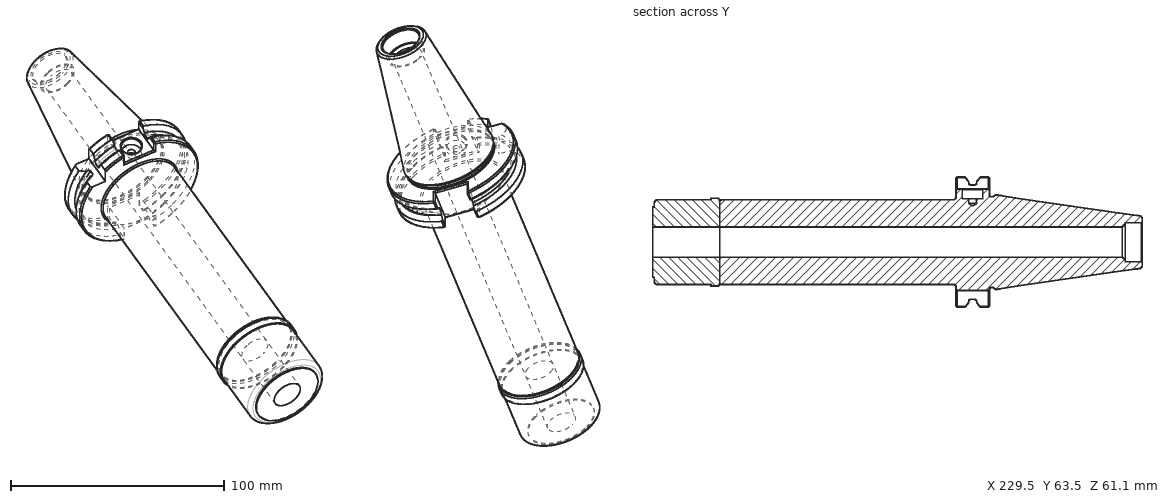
import cadquery as cq
import math

total_length = 229.5
taper_length = 68.7
flange_start = 71.6
flange_end = 87.5
nut_start = 198.1

taper_ratio = 7 / 24
gauge_diameter = 44.5
taper_end_chamfer = 1.0
relief_radius = 21.4
relief_slope_length = 1.4
relief_root_chamfer = 0.5

flange_diameter = 63.5
flange_chamfer = 0.7
groove_mouth_width = 7.5
groove_channel_width = 3.7
groove_shoulder_radius = 29.5
groove_floor_radius = 28.0
groove_floor_fillet = 1.0

slot_width = 15.8
upper_slot_floor = 25.0
lower_slot_floor = 22.7
notch_side = 18.4
notch_floor = 18.1
chip_hole_diameter = 9.5
chip_hole_chamfer = 0.5
chip_hole_depth = 4.5
pilot_hole_diameter = 3.5
pilot_hole_depth = 2.3
pilot_point_angle = 118

tube_radius = 20.0
tube_root_chamfer = 0.7
tube_end_chamfer = 0.7

bore_diameter = 14.0
counterbore_diameter = 18.1
counterbore_depth = 8.0
mouth_diameter = 19.3
bore_chamfer = 1.4

nut_radius = 20.0
collar_radius = 20.7
collar_end = 202.3
collar_chamfer = 0.7
nut_shoulder = 229.0
nut_end_fillet = 1.8
nut_rim_radius = 16.5

gauge_radius = gauge_diameter / 2
flange_radius = flange_diameter / 2
small_end_radius = gauge_radius - taper_length * taper_ratio / 2
flange_middle = (flange_start + flange_end) / 2
bore_radius = bore_diameter / 2
counterbore_radius = counterbore_diameter / 2
mouth_radius = mouth_diameter / 2
mouth_chamfer = mouth_radius - counterbore_radius


def revolve_about_x(points):
    """Turn a closed (x, radius) outline about the X axis."""
    return cq.Workplane("XY").polyline(points).close().revolve(360, (0, 0, 0), (1, 0, 0))


def box_between(x_range, y_range, z_range):
    """Box given by its limits along each axis."""
    lengths = [high - low for low, high in (x_range, y_range, z_range)]
    corner = (x_range[0], y_range[0], z_range[0])
    return cq.Workplane("XY").box(*lengths, centered=False).translate(corner)


def turned_body():
    """Solid taper and tube in one turned outline, necked down where the flange sits."""
    small_end_edge = small_end_radius - taper_end_chamfer
    chamfer_top = small_end_radius + taper_end_chamfer * taper_ratio / 2
    return revolve_about_x([
        (0, 0),
        (0, small_end_edge),
        (taper_end_chamfer, chamfer_top),
        (taper_length, gauge_radius),
        (taper_length + relief_slope_length, relief_radius),
        (flange_start - relief_root_chamfer, relief_radius),
        (flange_start, relief_radius + relief_root_chamfer),
        (flange_end, tube_radius + tube_root_chamfer),
        (flange_end + tube_root_chamfer, tube_radius),
        (nut_start - tube_end_chamfer, tube_radius),
        (nut_start, tube_radius - tube_end_chamfer),
        (nut_start, 0),
    ])


def drive_slots():
    """Upper and lower slots of equal width but different depth."""
    x_range = (flange_start, flange_end)
    slot_range = (-slot_width / 2, slot_width / 2)
    upper_slot = box_between(x_range, slot_range, (upper_slot_floor, flange_radius))
    lower_slot = box_between(x_range, slot_range, (-flange_radius, -lower_slot_floor))
    return upper_slot.union(lower_slot)


def corner_notch():
    """Square-cornered notch in the -Y, +Z quarter of the flange."""
    x_range = (flange_start, flange_end)
    return box_between(x_range, (-flange_radius, -notch_side), (notch_floor, flange_radius))


def gripper_groove():
    """V-shaped ring groove with a straight-sided, round-cornered channel at its bottom."""
    half_mouth = groove_mouth_width / 2
    half_channel = groove_channel_width / 2
    half_flat = half_channel - groove_floor_fillet
    fillet_top = groove_floor_radius + groove_floor_fillet
    outline = (
        cq.Workplane("XY", origin=(flange_middle, 0, 0))
        .moveTo(-half_mouth, flange_radius)
        .lineTo(-half_channel, groove_shoulder_radius)
        .lineTo(-half_channel, fillet_top)
        .radiusArc((-half_flat, groove_floor_radius), -groove_floor_fillet)
        .lineTo(half_flat, groove_floor_radius)
        .radiusArc((half_channel, fillet_top), -groove_floor_fillet)
        .lineTo(half_channel, groove_shoulder_radius)
        .lineTo(half_mouth, flange_radius)
        .close()
    )
    return outline.revolve(360, (0, 0, 0), (1, 0, 0))


def make_flange():
    """Slotted disc with chamfered edges, then notched and grooved with sharp edges."""
    disc = (
        cq.Workplane("YZ", origin=(flange_start, 0, 0))
        .circle(flange_radius)
        .extrude(flange_end - flange_start)
        .cut(drive_slots())
    )
    face_edges = disc.faces("<X or >X").edges().vals()
    rim_edges = [
        edge for edge in disc.edges("|X").vals()
        if math.hypot(edge.Center().y, edge.Center().z) > groove_floor_radius
    ]
    disc = disc.newObject(face_edges + rim_edges).chamfer(flange_chamfer)
    return disc.cut(corner_notch()).cut(gripper_groove())


def chip_hole():
    """Chamfered round pocket in the upper slot floor with a drilled pilot hole at its centre."""
    hole_radius = chip_hole_diameter / 2
    mouth = hole_radius + chip_hole_chamfer
    pilot_radius = pilot_hole_diameter / 2
    pilot_bottom = chip_hole_depth + pilot_hole_depth
    point_length = pilot_radius / math.tan(math.radians(pilot_point_angle / 2))
    profile = (
        cq.Workplane("XZ")
        .polyline([
            (0, 0),
            (mouth, 0),
            (hole_radius, -chip_hole_chamfer),
            (hole_radius, -chip_hole_depth),
            (pilot_radius, -chip_hole_depth),
            (pilot_radius, -pilot_bottom),
            (0, -pilot_bottom - point_length),
        ])
        .close()
    )
    hole = profile.revolve(360, (0, 0, 0), (0, 1, 0))
    return hole.translate((flange_middle, 0, upper_slot_floor))


def holder_bore():
    """Through bore with a chamfered counterbore at the small end."""
    return revolve_about_x([
        (0, 0),
        (0, mouth_radius),
        (mouth_chamfer, counterbore_radius),
        (counterbore_depth, counterbore_radius),
        (counterbore_depth, bore_radius + bore_chamfer),
        (counterbore_depth + bore_chamfer, bore_radius),
        (nut_start, bore_radius),
        (nut_start, 0),
    ])


def make_holder():
    holder = turned_body().union(make_flange())
    return holder.cut(chip_hole()).cut(holder_bore())


def make_nut():
    """Ring nut with a raised collar, a rounded shoulder and a low rim at its free end."""
    outline = (
        cq.Workplane("XY")
        .moveTo(nut_start, bore_radius)
        .lineTo(nut_start, collar_radius - collar_chamfer)
        .lineTo(nut_start + collar_chamfer, collar_radius)
        .lineTo(collar_end, collar_radius)
        .lineTo(collar_end, nut_radius)
        .lineTo(nut_shoulder - nut_end_fillet, nut_radius)
        .radiusArc((nut_shoulder, nut_radius - nut_end_fillet), nut_end_fillet)
        .lineTo(nut_shoulder, nut_rim_radius)
        .lineTo(total_length, nut_rim_radius)
        .lineTo(total_length, bore_radius)
        .close()
    )
    return outline.revolve(360, (0, 0, 0), (1, 0, 0))


holder = make_holder()
nut = make_nut()

result = cq.Compound.makeCompound([holder.solids().val(), nut.val()])